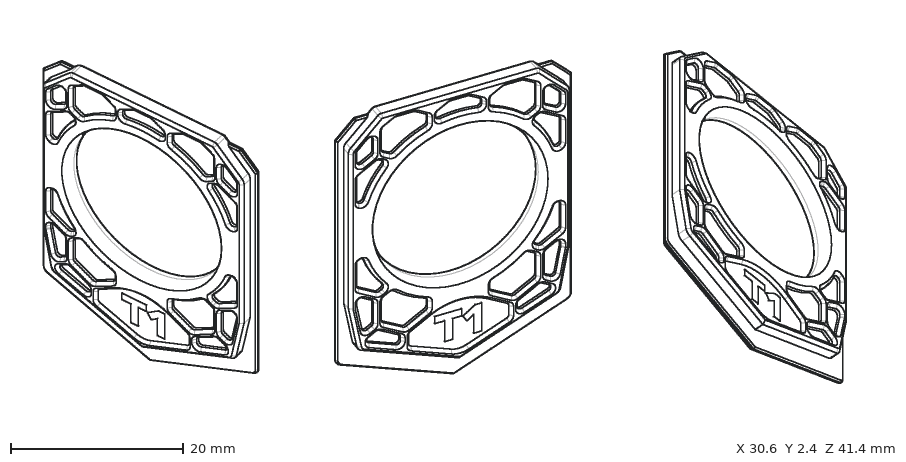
import cadquery as cq
import math


width = 30.6
top = 16.0
tip = top - 41.4
thickness = 2.4
edge_chamfer = 0.4

plate_thickness = 0.8
plate_front_chamfer = 0.2
plate_top = 15.25
plate_bevel = 2.5
plate_corner_radius = 1.0
lower_slope = 0.406

rim_half_width = 14.32
rim_bevel = 4.0
rim_taper_height = -10.55
rim_foot_half_width = 13.12
rim_tip = -22.25
rim_corner_radius = 1.0
rim_top_corner_radius = 0.62

bore_diameter = 21.95
flare_radius = 4.0
flare_width = 0.4

pocket_depth = 0.8
cell_pitch = 7.05
row_pitch = cell_pitch * math.sqrt(3) / 2
rib_width = 0.25
pocket_margin = 1.08
pocket_ring_radius = 13.05
pocket_corner_radius = 0.45
floor_depth = thickness - pocket_depth
cell_half_width = (cell_pitch - rib_width) / 2 - edge_chamfer
lowest_row = -3
pocket_cells = [(0, 2), (1, 2), (2, 2), (1.5, 1), (1.5, -1), (1, -2), (2, -2), (1.5, lowest_row)]

label_depth = edge_chamfer
label_floor = thickness - label_depth
label_top_radius = 7.85
label_bottom_radius = 3.0
label_corner_radius = pocket_corner_radius + edge_chamfer
letter_depth = 0.4
letter_top = -15.3
letter_bottom = -19.35
letter_stroke = 1.05


def mirrored(right_points):
    """Close an outline from its right half, listed from top to bottom."""
    left_points = [(-x, z) for x, z in reversed(right_points) if x > 0]
    return right_points + left_points


def prism(points, start, height):
    """Extrude an XZ outline toward the front from the given depth."""
    return cq.Workplane("XZ").workplane(offset=start).polyline(points).close().extrude(height)


half_width = width / 2
plate_outline = mirrored([
    (half_width - plate_bevel, plate_top),
    (half_width, plate_top - plate_bevel),
    (half_width, tip + lower_slope * half_width),
    (0, tip),
])
rim_shoulders = [(rim_half_width - rim_bevel, top), (rim_half_width, top - rim_bevel)]
rim_outline = mirrored(rim_shoulders + [
    (rim_half_width, rim_taper_height),
    (rim_foot_half_width, rim_tip + lower_slope * rim_foot_half_width),
    (0, rim_tip),
])
untapered_outline = mirrored(rim_shoulders + [
    (rim_half_width, rim_tip + lower_slope * rim_half_width),
    (0, rim_tip),
])


def edges_at(body, x, z):
    """The depth-wise edges of a prism at (x, z) and at its mirror image."""
    reach = 0.05
    selected = body.edges("|Y").edges(cq.selectors.BoxSelector(
        (x - reach, -2 * thickness, z - reach), (x + reach, thickness, z + reach)))
    if x > 0:
        selected = selected.add(body.edges("|Y").edges(cq.selectors.BoxSelector(
            (-x - reach, -2 * thickness, z - reach), (-x + reach, thickness, z + reach))))
    return selected


def make_plate():
    plate = prism(plate_outline, 0, plate_thickness)
    plate = edges_at(plate, *plate_outline[2]).fillet(plate_corner_radius)
    return plate.faces("<Y").edges().chamfer(plate_front_chamfer)


def make_rim():
    rim = prism(rim_outline, 0, thickness)
    rim = edges_at(rim, *rim_outline[0]).fillet(rim_top_corner_radius)
    rim = edges_at(rim, *rim_outline[1]).fillet(rim_corner_radius)
    return edges_at(rim, *rim_outline[3]).fillet(rim_corner_radius)


def inset_prism(outline, inset, start, height):
    """Extrude an XZ outline shrunk by the inset, with sharp corners."""
    sketch = cq.Workplane("XZ").workplane(offset=start).polyline(outline).close()
    return sketch.offset2D(-inset, "intersection").extrude(height)


def make_cell_pocket(column, row):
    """A rounded hexagonal pocket, cut off near the rim outline and around the bore."""
    cell = (
        cq.Workplane("XZ")
        .workplane(offset=floor_depth)
        .center(column * cell_pitch, row * row_pitch)
        .transformed(rotate=(0, 0, 30))
        .polygon(6, 2 * cell_half_width / math.cos(math.pi / 6))
        .extrude(pocket_depth)
    )
    limit = untapered_outline if row == lowest_row else rim_outline
    cell = cell.intersect(inset_prism(limit, pocket_margin, floor_depth, pocket_depth))
    cell = cell.cut(cq.Workplane("XZ").circle(pocket_ring_radius).extrude(thickness))
    return cell.edges("|Y").fillet(pocket_corner_radius)


def make_label_pocket():
    """A wide pocket that fills the two middle cells of the lowest row, with one sloping wall."""
    half_cell = cell_half_width + edge_chamfer
    side = cell_pitch / 2 + half_cell
    shoulder = lowest_row * row_pitch + half_cell * math.tan(math.pi / 6)
    peak = shoulder + side * math.tan(math.pi / 6)
    height = 2 * label_depth
    pocket = prism(mirrored([(0, peak), (side, shoulder), (side, tip), (0, tip)]), label_floor, height)
    pocket = pocket.intersect(inset_prism(rim_outline, pocket_margin - edge_chamfer, label_floor, height))
    pocket = edges_at(pocket, 0, peak).fillet(label_top_radius)
    pocket = pocket.edges("|Y").edges("<Z").fillet(label_bottom_radius)
    lower_corner = rim_tip + lower_slope * side + (pocket_margin - edge_chamfer) * math.hypot(1, lower_slope)
    for corner in (shoulder, lower_corner):
        pocket = edges_at(pocket, side, corner).fillet(label_corner_radius)
    return pocket.faces(">Y").edges().chamfer(edge_chamfer)


def make_bore():
    """A straight bore that widens along an arc toward the front face."""
    radius = bore_diameter / 2
    flare_length = math.sqrt(flare_width * (2 * flare_radius - flare_width))
    return (
        cq.Workplane("XY")
        .lineTo(radius, 0)
        .lineTo(radius, flare_length - thickness)
        .radiusArc((radius + flare_width, -thickness), -flare_radius)
        .lineTo(0, -thickness)
        .close()
        .revolve(360, (0, 0), (0, 1))
    )


def make_letter_t():
    left, right = -3.1, 0.37
    stem_left = -1.82
    return prism([
        (left, letter_top), (right, letter_top), (right, letter_top - letter_stroke),
        (stem_left + letter_stroke, letter_top - letter_stroke), (stem_left + letter_stroke, letter_bottom),
        (stem_left, letter_bottom), (stem_left, letter_top - letter_stroke), (left, letter_top - letter_stroke),
    ], label_floor - letter_depth, letter_depth)


def make_digit_one():
    right = 3.0
    left = right - letter_stroke
    return prism([
        (2.1, letter_top), (right, letter_top), (right, letter_bottom),
        (left, letter_bottom), (left, -16.65), (1.08, -17.3), (0.55, -16.45),
    ], label_floor - letter_depth, letter_depth)


def make_frame(letters):
    frame = make_plate().union(make_rim())
    frame = frame.faces(">Y").edges().chamfer(edge_chamfer)
    for column, row in pocket_cells:
        for side in {column, -column}:
            frame = frame.cut(make_cell_pocket(side, row))
    frame = frame.faces("<Y").edges().chamfer(edge_chamfer)
    frame = frame.cut(make_label_pocket()).cut(make_bore())
    for letter in letters:
        frame = frame.cut(letter)
    return frame


letter_t = make_letter_t()
digit_one = make_digit_one()
frame = make_frame([letter_t, digit_one])

result = cq.Compound.makeCompound([frame.val(), letter_t.val(), digit_one.val()])